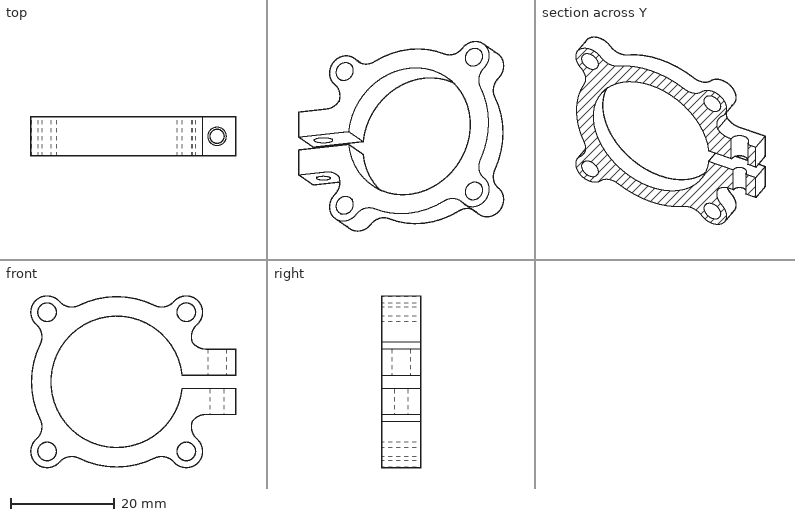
import cadquery as cq
import math

thickness = 7.62
bore_radius = 12.7
ring_radius = 16.51

bolt_circle_radius = 19.05
ear_radius = 3.175
ear_hole_diameter = 3.57
ear_angles = (45, 135, 225, 315)

tab_end = 23.055
tab_half_height = 6.35
slot_width = 2.54

screw_from_end = 3.63
clearance_diameter = ear_hole_diameter
tapping_diameter = 2.7

blend_radius = 3.175
blend_reach = ring_radius + blend_radius


def at_angle(radius, degrees):
    """XZ coordinates of a point given by radius and angle from +X."""
    angle = math.radians(degrees)
    return radius * math.cos(angle), radius * math.sin(angle)


def sketch_plane():
    """Plane of the ring outline; Y = 0 is the middle of the thickness."""
    return cq.Workplane("XZ")


def disc(center, radius):
    """Full-thickness cylinder along Y."""
    return sketch_plane().center(*center).circle(radius).extrude(thickness / 2, both=True)


def plate(points):
    """Full-thickness plate with a straight-sided outline."""
    return sketch_plane().polyline(points).close().extrude(thickness / 2, both=True)


def ear(degrees):
    """Round ear with a concave blend to the ring on each side."""
    ear_center = at_angle(bolt_circle_radius, degrees)
    cos_spread = (
        blend_reach**2 + bolt_circle_radius**2 - (ear_radius + blend_radius) ** 2
    ) / (2 * blend_reach * bolt_circle_radius)
    spread = math.degrees(math.acos(cos_spread))
    blend_before = at_angle(blend_reach, degrees - spread)
    blend_after = at_angle(blend_reach, degrees + spread)
    web = plate([(0, 0), blend_before, ear_center, blend_after])
    web = web.cut(disc(blend_before, blend_radius)).cut(disc(blend_after, blend_radius))
    return web.union(disc(ear_center, ear_radius))


def tabs():
    """Block that becomes the two tabs, blended to the ring above and below."""
    blend_z = tab_half_height + blend_radius
    blend_x = math.sqrt(blend_reach**2 - blend_z**2)
    block = plate([
        (0, -tab_half_height),
        (tab_end, -tab_half_height),
        (tab_end, tab_half_height),
        (0, tab_half_height),
    ])
    for side in (1, -1):
        blend_center = (blend_x, side * blend_z)
        web = plate([(0, 0), (blend_x, 0), blend_center])
        block = block.union(web.cut(disc(blend_center, blend_radius)))
    return block


def clamp_slot():
    """Radial slot from the bore out through the end of the tabs."""
    return cq.Workplane("XY").box(tab_end, thickness, slot_width, centered=(False, True, True))


def screw_holes():
    """Clearance hole through the upper tab and tapping hole through the lower tab."""
    axis = cq.Workplane("XY").center(tab_end - screw_from_end, 0)
    clearance = axis.circle(clearance_diameter / 2).extrude(tab_half_height)
    tapping = axis.circle(tapping_diameter / 2).extrude(-tab_half_height)
    return clearance.union(tapping)


body = disc((0, 0), ring_radius).union(tabs())
for ear_angle in ear_angles:
    body = body.union(ear(ear_angle))

body = body.cut(disc((0, 0), bore_radius))
for ear_angle in ear_angles:
    body = body.cut(disc(at_angle(bolt_circle_radius, ear_angle), ear_hole_diameter / 2))

result = body.cut(clamp_slot()).cut(screw_holes())